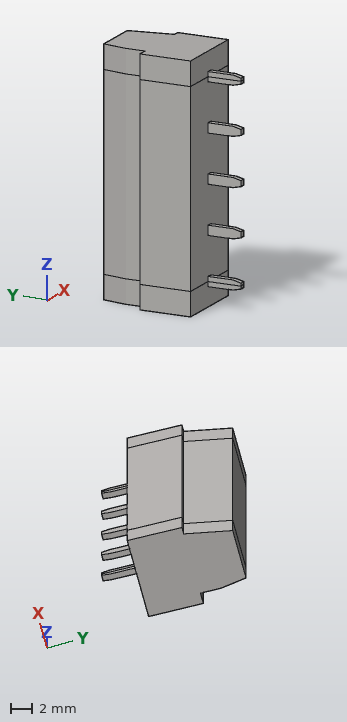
import cadquery as cq

ROW_HEIGHT = 25.4
WIDTH = 8.1
TOTAL_DEPTH = 13.5
PIN_COUNT = 5
PITCH = ROW_HEIGHT / PIN_COUNT

PIN_LENGTH = 3.5
PIN_WIDTH = 0.6
PIN_HEIGHT = 1.02
TIP_HEIGHT = 0.6
TIP_LENGTH = 0.85

HOUSING_DEPTH = TOTAL_DEPTH - PIN_LENGTH
BACK_DEPTH = 4.6
LEFT_SHOULDER = 1.1
RIGHT_SHOULDER = 0.69
BACK_INSET = 1.52
LEFT_TAPER_LENGTH = 2.6

LOWER_SPLIT = PITCH / 2
UPPER_SPLIT = ROW_HEIGHT - PITCH / 2


def housing_section(bottom, top):
    """Housing profile, with its pin face at Y = 0, extruded from bottom to top."""
    half_width = WIDTH / 2
    shoulder_y = HOUSING_DEPTH - BACK_DEPTH
    return (
        cq.Workplane("XY", origin=(0, 0, bottom))
        .moveTo(-half_width, 0)
        .lineTo(half_width, 0)
        .lineTo(half_width, shoulder_y)
        .lineTo(half_width - RIGHT_SHOULDER, shoulder_y)
        .lineTo(half_width - BACK_INSET, HOUSING_DEPTH)
        .lineTo(-half_width + BACK_INSET, HOUSING_DEPTH)
        .lineTo(-half_width + LEFT_SHOULDER, HOUSING_DEPTH - LEFT_TAPER_LENGTH)
        .lineTo(-half_width + LEFT_SHOULDER, shoulder_y)
        .lineTo(-half_width, shoulder_y)
        .close()
        .extrude(top - bottom)
    )


def half_pin(center_z, side):
    """Half of a pin on one side of its centre plane: side is 1 for above, -1 for below."""
    return (
        cq.Workplane("YZ", origin=(0, 0, center_z))
        .moveTo(0, 0)
        .lineTo(-PIN_LENGTH, 0)
        .lineTo(-PIN_LENGTH, side * TIP_HEIGHT / 2)
        .lineTo(-PIN_LENGTH + TIP_LENGTH, side * PIN_HEIGHT / 2)
        .lineTo(0, side * PIN_HEIGHT / 2)
        .close()
        .extrude(PIN_WIDTH / 2, both=True)
    )


def end_section(bottom, top, pin_z, pin_side):
    """End body of the row, which carries the outer half of an end pin."""
    return housing_section(bottom, top).union(half_pin(pin_z, pin_side))


def middle_section():
    """Middle body: all the inner pins, and the inner half of each end pin."""
    body = housing_section(LOWER_SPLIT, UPPER_SPLIT)
    body = body.union(half_pin(LOWER_SPLIT, 1))
    body = body.union(half_pin(UPPER_SPLIT, -1))
    for index in range(1, PIN_COUNT - 1):
        pin_z = LOWER_SPLIT + index * PITCH
        for side in (-1, 1):
            body = body.union(half_pin(pin_z, side))
    return body.clean()


lower_end = end_section(0, LOWER_SPLIT, LOWER_SPLIT, -1)
middle = middle_section()
upper_end = end_section(UPPER_SPLIT, ROW_HEIGHT, UPPER_SPLIT, 1)

result = cq.Compound.makeCompound([lower_end.val(), middle.val(), upper_end.val()])